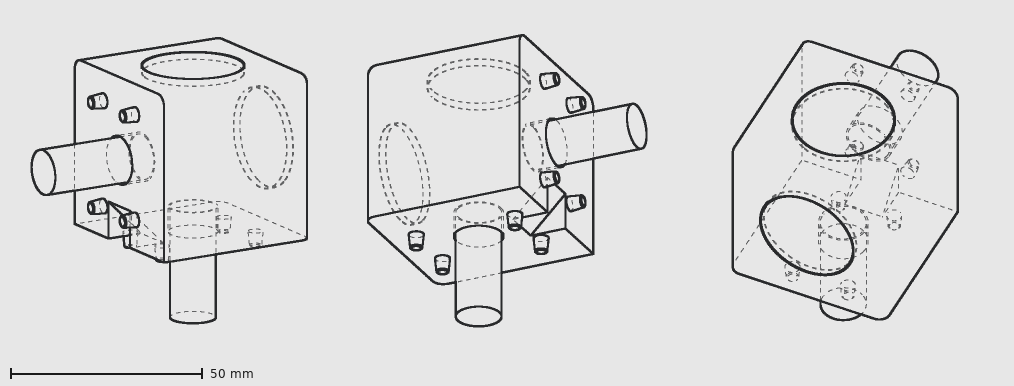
import cadquery as cq

overall_length = 68.65
housing_size = 45.0
half_size = housing_size / 2
edge_radius = 3.0

shaft_diameter = 12.0
shaft_bore_diameter = 13.0
shaft_bore_depth = 6.85

cap_diameter = 26.5
cap_recess_diameter = 27.0
cap_recess_depth = 2.0
dome_height = 0.5
rim_depth = 0.1

shaft_projection = overall_length - housing_size - dome_height

peg_base_diameter = 4.0
peg_tip_diameter = 3.2
peg_length = 4.0
peg_chamfer = 0.3
peg_spacing_x = 16.0
peg_spacing_along = 28.5

notch_width = 10.85
notch_leg = 10.0


def face_plane_along(normal):
    """Plane on the housing face that points along the unit vector normal, local x along +X."""
    return cq.Plane(origin=cq.Vector(*normal) * half_size, xDir=(1, 0, 0), normal=normal)


shaft_planes = [face_plane_along((0, -1, 0)), face_plane_along((0, 0, -1))]
cap_planes = [face_plane_along((0, 1, 0)), face_plane_along((0, 0, 1))]


def rounded_block():
    """Cube with rounded edges, except around the front and bottom faces."""
    block = cq.Workplane("XY").box(housing_size, housing_size, housing_size)
    return block.edges("(>Y or >Z) and (not <Y) and (not <Z)").fillet(edge_radius)


def notch_wedge():
    """Triangular prism along X that removes the middle of the lower front edge."""
    return (
        cq.Workplane("YZ")
        .moveTo(-half_size, -half_size)
        .lineTo(-half_size + notch_leg, -half_size)
        .lineTo(-half_size, -half_size + notch_leg)
        .close()
        .extrude(notch_width / 2, both=True)
    )


def tapered_peg():
    """One peg standing on the XY plane at the origin, with a chamfered tip."""
    base_radius = peg_base_diameter / 2
    tip_radius = peg_tip_diameter / 2
    return (
        cq.Workplane("XZ")
        .lineTo(base_radius, 0)
        .lineTo(tip_radius, peg_length - peg_chamfer)
        .lineTo(tip_radius - peg_chamfer, peg_length)
        .lineTo(0, peg_length)
        .close()
        .revolve(360, (0, 0, 0), (0, 1, 0))
        .val()
    )


def make_pegs(face_plane):
    """Four pegs in a rectangle, standing on a shaft face."""
    peg = tapered_peg()
    return [
        peg.moved(face_plane.location * cq.Location(cq.Vector(x, y, 0)))
        for x in (-peg_spacing_x / 2, peg_spacing_x / 2)
        for y in (-peg_spacing_along / 2, peg_spacing_along / 2)
    ]


def blind_hole(face_plane, diameter, depth):
    """Cylinder that reaches from a housing face inwards."""
    return cq.Workplane(face_plane).circle(diameter / 2).extrude(-depth)


def make_housing():
    """Housing with its pegs, notch, shaft bores and cap recesses."""
    housing = rounded_block().cut(notch_wedge())
    for plane in shaft_planes:
        for peg in make_pegs(plane):
            housing = housing.union(cq.Workplane(peg))
        housing = housing.cut(blind_hole(plane, shaft_bore_diameter, shaft_bore_depth))
    for plane in cap_planes:
        housing = housing.cut(blind_hole(plane, cap_recess_diameter, cap_recess_depth))
    return housing


def make_shaft(face_plane):
    """Plain round shaft that rests on the floor of its bore."""
    return (
        cq.Workplane(face_plane)
        .workplane(offset=-shaft_bore_depth)
        .circle(shaft_diameter / 2)
        .extrude(shaft_bore_depth + shaft_projection)
    )


def make_cap(face_plane):
    """Disc on the floor of its recess, rim just below the face, with a shallow spherical dome."""
    rim_radius = cap_diameter / 2
    dome_rise = dome_height + rim_depth
    sphere_radius = (rim_radius**2 + dome_rise**2) / (2 * dome_rise)
    disc = (
        cq.Workplane(face_plane)
        .workplane(offset=-cap_recess_depth)
        .circle(rim_radius)
        .extrude(cap_recess_depth + dome_height)
    )
    ball = (
        cq.Workplane(face_plane)
        .workplane(offset=dome_height - sphere_radius)
        .sphere(sphere_radius)
    )
    return disc.intersect(ball)


housing = make_housing()
shafts = [make_shaft(plane) for plane in shaft_planes]
caps = [make_cap(plane) for plane in cap_planes]

result = cq.Compound.makeCompound(
    [housing.val()] + [shaft.val() for shaft in shafts] + [cap.val() for cap in caps]
)